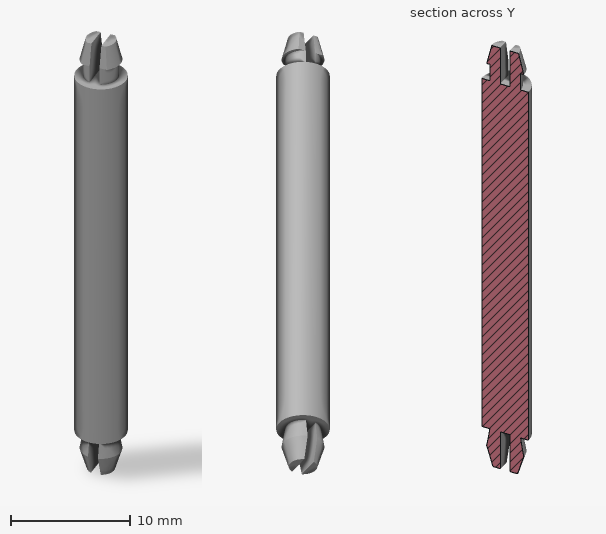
import cadquery as cq

BODY_DIAMETER = 4.5
BODY_LENGTH = 35.0

SLOT_WIDTH = 0.9

STEM_RADIUS = 1.5
STEM_LENGTH = 1.6
HEAD_LENGTH = 2.0
HEAD_BASE_RADIUS = 1.8
HEAD_TIP_RADIUS = 1.3
HEAD_BASE_HALF_DEPTH = 1.4
HEAD_TIP_HALF_DEPTH = 1.0

LOWER_NECK_RADIUS = 1.5
LOWER_BULGE_RADIUS = 1.8
LOWER_TIP_RADIUS = 1.2
LOWER_BULGE_DROP = 1.75
LOWER_PLUG_LENGTH = 3.7

UPPER_PLUG_LENGTH = STEM_LENGTH + HEAD_LENGTH


def cone(base_z, base_radius, end_z, end_radius):
    """Truncated cone on the Z axis."""
    profile = [(0, base_z), (base_radius, base_z), (end_radius, end_z), (0, end_z)]
    return cq.Workplane("XZ").polyline(profile).close().revolve(360, (0, 0, 0), (0, 1, 0))


def cut_slot(plug, base_z, length):
    """Split a plug into two prongs over its full length."""
    slot = cq.Workplane("XY", origin=(0, 0, base_z)).rect(SLOT_WIDTH, BODY_DIAMETER).extrude(length)
    return plug.cut(slot)


def make_upper_plug():
    head_z = BODY_LENGTH + STEM_LENGTH
    tip_z = head_z + HEAD_LENGTH
    stem = cq.Workplane("XY", origin=(0, 0, BODY_LENGTH)).circle(STEM_RADIUS).extrude(STEM_LENGTH)
    head = cone(head_z, HEAD_BASE_RADIUS, tip_z, HEAD_TIP_RADIUS)

    flats_outline = [
        (-HEAD_BASE_HALF_DEPTH, head_z),
        (HEAD_BASE_HALF_DEPTH, head_z),
        (HEAD_TIP_HALF_DEPTH, tip_z),
        (-HEAD_TIP_HALF_DEPTH, tip_z),
    ]
    flats = cq.Workplane("YZ").polyline(flats_outline).close().extrude(HEAD_BASE_RADIUS, both=True)
    plug = stem.union(head.intersect(flats))
    return cut_slot(plug, BODY_LENGTH, UPPER_PLUG_LENGTH)


def make_lower_plug():
    neck = cone(0, LOWER_NECK_RADIUS, -LOWER_BULGE_DROP, LOWER_BULGE_RADIUS)
    tip = cone(-LOWER_BULGE_DROP, LOWER_BULGE_RADIUS, -LOWER_PLUG_LENGTH, LOWER_TIP_RADIUS)
    return cut_slot(neck.union(tip), -LOWER_PLUG_LENGTH, LOWER_PLUG_LENGTH)


body = cq.Workplane("XY").circle(BODY_DIAMETER / 2).extrude(BODY_LENGTH)
result = body.union(make_upper_plug()).union(make_lower_plug())